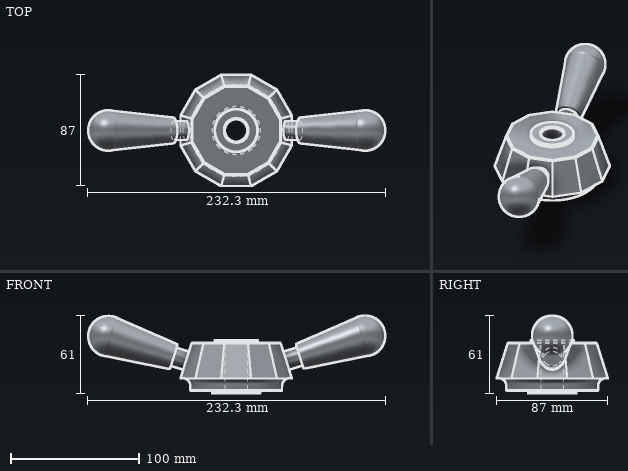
import cadquery as cq
import math

hub_sides = 12
hub_bottom_across_flats = 87.0
hub_bottom_z = 11.8
hub_top_z = 39.7
hub_edge_chamfer = 0.7

tilt = 17.5

base_diameter = 72.0
base_bottom_z = 2.0
flare_start_z = 6.3
flare_radius = hub_bottom_z - flare_start_z
rim_chamfer = 0.7

lower_boss_diameter = 38.0
upper_boss_diameter = 34.0
boss_top_z = 42.0
boss_chamfer = 0.5
bore_diameter = 17.5
bore_chamfer = 1.0

overall_length = 232.3
overall_height = 61.0
left_reach = 115.7
right_reach = overall_length - left_reach
ball_radius = 16.0
band_start = 1.0
band_end = 2.8
grip_large_radius = 15.5
grip_small_radius = 10.2
grip_length = 53.5
grip_end_fillet = 1.2
neck_diameter = 15.0
neck_length = 81.3

quarter_arc_middle = math.radians(45)


def dodecagon(across_flats, z):
    """Closed twelve-sided wire at height z with its flats square to X and Y."""
    half_step = 180 / hub_sides
    corner_diameter = across_flats / math.cos(math.radians(half_step))
    return (
        cq.Workplane("XY", origin=(0, 0, z))
        .transformed(rotate=(0, 0, half_step))
        .polygon(hub_sides, corner_diameter)
    )


def make_hub():
    height = hub_top_z - hub_bottom_z
    hub = dodecagon(hub_bottom_across_flats, hub_bottom_z).extrude(height, taper=tilt)
    return hub.faces(">Z").edges().chamfer(hub_edge_chamfer)


def make_base():
    base_radius = base_diameter / 2
    flare_bow = flare_radius * (1 - math.cos(quarter_arc_middle))
    profile = (
        cq.Workplane("XZ")
        .moveTo(0, base_bottom_z)
        .lineTo(base_radius - rim_chamfer, base_bottom_z)
        .lineTo(base_radius, base_bottom_z + rim_chamfer)
        .lineTo(base_radius, flare_start_z)
        .threePointArc(
            (base_radius + flare_bow, hub_bottom_z - flare_bow),
            (base_radius + flare_radius, hub_bottom_z),
        )
        .lineTo(0, hub_bottom_z)
        .close()
    )
    return profile.revolve(360, (0, 0, 0), (0, 1, 0))


def make_bosses():
    lower = (
        cq.Workplane("XY")
        .circle(lower_boss_diameter / 2)
        .extrude(hub_bottom_z)
        .faces("<Z").edges().chamfer(boss_chamfer)
    )
    upper = (
        cq.Workplane("XY", origin=(0, 0, hub_bottom_z))
        .circle(upper_boss_diameter / 2)
        .extrude(boss_top_z - hub_bottom_z)
        .faces(">Z").edges().chamfer(boss_chamfer)
    )
    return lower.union(upper)


def make_bore():
    bore = cq.Workplane("XY").circle(bore_diameter / 2).extrude(boss_top_z)
    mouth_radius = bore_diameter / 2 + bore_chamfer
    mouth_slope = 45
    top_mouth = (
        cq.Workplane("XY", origin=(0, 0, boss_top_z))
        .circle(mouth_radius)
        .extrude(-bore_chamfer, taper=mouth_slope)
    )
    bottom_mouth = cq.Workplane("XY").circle(mouth_radius).extrude(bore_chamfer, taper=mouth_slope)
    return bore.union(top_mouth).union(bottom_mouth)


def make_grip():
    """Ball-ended grip along the X axis, ball centre at the origin and narrow end toward -X."""
    band_start_radius = math.sqrt(ball_radius**2 - band_start**2)
    diagonal = ball_radius * math.cos(quarter_arc_middle)
    return (
        cq.Workplane("XZ")
        .moveTo(ball_radius, 0)
        .threePointArc((diagonal, diagonal), (-band_start, band_start_radius))
        .lineTo(-band_end, grip_large_radius)
        .lineTo(-grip_length, grip_small_radius)
        .lineTo(-grip_length, 0)
        .close()
        .revolve(360, (0, 0, 0), (1, 0, 0))
        .faces("<X").edges().fillet(grip_end_fillet)
    )


def make_handle(reach):
    """Handle on the +X side whose ball ends at X = reach, moved along one tilted axis."""
    neck = (
        cq.Workplane("YZ", origin=(-neck_length, 0, 0))
        .circle(neck_diameter / 2)
        .extrude(neck_length)
    )
    ball_drop = (right_reach - reach) * math.tan(math.radians(tilt))
    ball_x = reach - ball_radius
    ball_z = overall_height - ball_radius - ball_drop
    return (
        make_grip().union(neck)
        .rotate((0, 0, 0), (0, 1, 0), -tilt)
        .translate((ball_x, 0, ball_z))
    )


right_handle = make_handle(right_reach)
left_handle = make_handle(left_reach).mirror("YZ")
body = make_hub().union(make_base()).union(make_bosses())
body = body.union(right_handle).union(left_handle)
result = body.cut(make_bore())